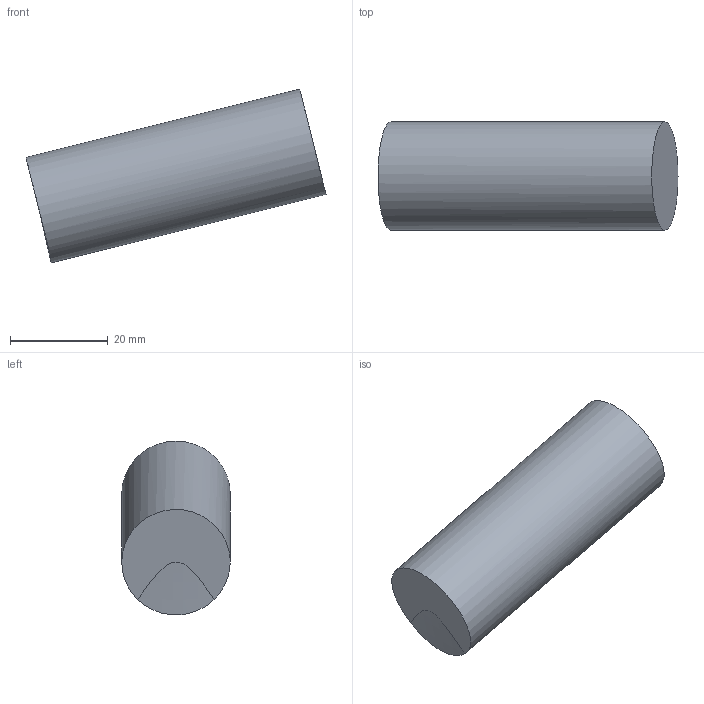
import cadquery as cq

bar_diameter = 22.23
bar_radius = bar_diameter / 2
bar_length = 57.82
tilt_angle = 14.0

flare_height = 0.25
flare_profile_radius = 610.0
flare_crown_radius = 197.0
flare_sweep = 10.0
flare_overrun = 1.0

end_x = -bar_length / 2


def flare_x(depth):
    """X of the flare profile at a depth below the bar axis."""
    bow = 1 / (2 * flare_profile_radius)
    slope = flare_height / bar_radius - bow * bar_radius
    return end_x - slope * depth - bow * depth**2


def make_bar():
    return cq.Workplane("YZ").circle(bar_radius).extrude(bar_length / 2, both=True)


def make_end_flare():
    top = -flare_overrun
    bottom = bar_radius + flare_overrun
    middle = (top + bottom) / 2
    root_x = end_x + bar_radius
    crown_axis_x = end_x + flare_crown_radius
    blank = (
        cq.Workplane("XZ")
        .moveTo(root_x, -top)
        .lineTo(flare_x(top), -top)
        .threePointArc((flare_x(middle), -middle), (flare_x(bottom), -bottom))
        .lineTo(root_x, -bottom)
        .close()
        .revolve(flare_sweep, (crown_axis_x, 0), (crown_axis_x, 1))
        .rotate((crown_axis_x, 0, 0), (crown_axis_x, 0, 1), -flare_sweep / 2)
    )
    envelope = (
        cq.Workplane("YZ")
        .workplane(offset=end_x - flare_overrun)
        .circle(bar_radius)
        .extrude(bar_radius)
    )
    return blank.intersect(envelope)


level_bar = make_bar().union(make_end_flare()).clean()
result = level_bar.rotate((0, 0, 0), (0, 1, 0), -tilt_angle)